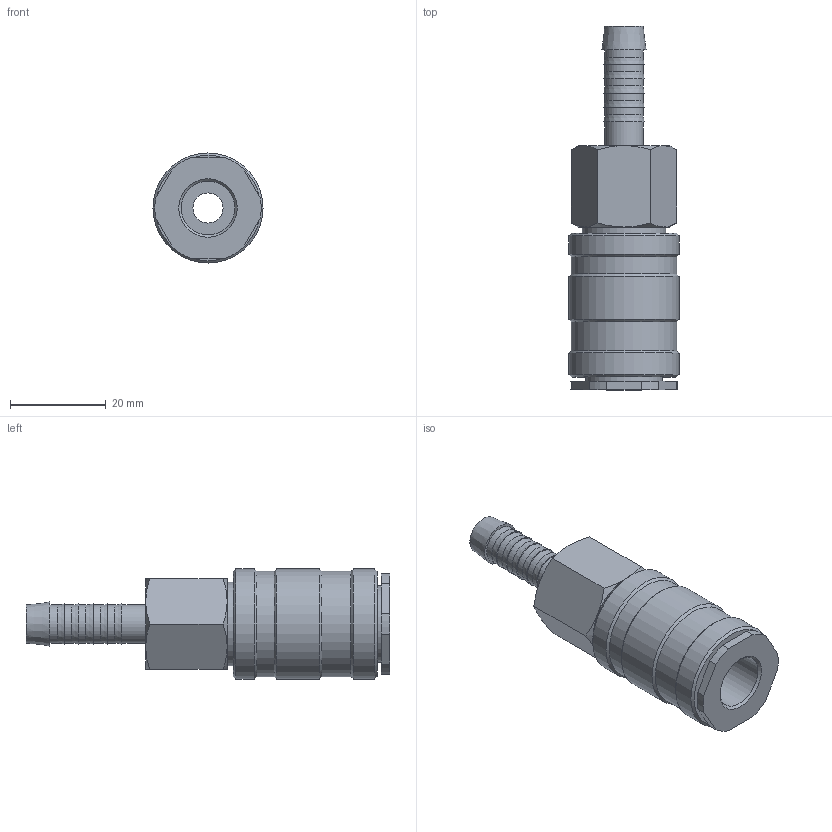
import cadquery as cq
import math


full_turn = 360
hex_sides = 6

total_length = 76.0
flange_length = 1.8
sleeve_start = 2.7
sleeve_length = 30.0
sleeve_end = sleeve_start + sleeve_length
hex_start = 34.0
hex_length = 17.0
hex_end = hex_start + hex_length

flange_radius = 11.1
flange_across_flats = 21.0
front_neck_radius = 8.0

sleeve_radius = 11.5
groove_depth = 0.5
sleeve_chamfer = 0.5
groove_spans = [(7.7, 14.7), (23.7, 28.3)]

hex_across_flats = 19.0
hex_chamfer_angle = 30.0
rear_neck_radius = 8.75

stem_radius = 4.0
tip_barb_radius = 4.6
tip_barb_length = 5.0
ridge_radius = 4.2
ridge_length = 1.5
ridge_pitch = 3.0
ridge_count = 5
first_ridge_from_tip = 6.5

socket_radius = 5.6
socket_depth = 25.0
socket_chamfer = 0.5
passage_radius = 3.15


def cylinder(radius, start, end):
    """Cylinder about the Y axis between two stations."""
    return cq.Workplane("XZ", origin=(0, start, 0)).circle(radius).extrude(start - end)


def cone(start_radius, end_radius, start, end):
    """Truncated cone about the Y axis between two stations."""
    profile = [(0, start), (start_radius, start), (end_radius, end), (0, end)]
    return cq.Workplane("XY").polyline(profile).close().revolve(full_turn, (0, 0), (0, 1))


def hexagon(across_flats, start, end):
    """Hexagonal prism about the Y axis with flats facing +Z and -Z."""
    across_corners = across_flats / math.cos(math.pi / hex_sides)
    plane = cq.Workplane("XZ", origin=(0, start, 0))
    return plane.polygon(hex_sides, across_corners).extrude(start - end)


def make_flange():
    disc = cylinder(flange_radius, 0, flange_length)
    return disc.intersect(hexagon(flange_across_flats, 0, flange_length))


def make_sleeve():
    groove_radius = sleeve_radius - groove_depth
    end_radius = sleeve_radius - sleeve_chamfer
    outline = [
        (0, sleeve_start),
        (end_radius, sleeve_start),
        (sleeve_radius, sleeve_start + sleeve_chamfer),
    ]
    for groove_start, groove_end in groove_spans:
        outline += [
            (sleeve_radius, groove_start),
            (groove_radius, groove_start + groove_depth),
            (groove_radius, groove_end - groove_depth),
            (sleeve_radius, groove_end),
        ]
    outline += [
        (sleeve_radius, sleeve_end - sleeve_chamfer),
        (end_radius, sleeve_end),
        (0, sleeve_end),
    ]
    return cq.Workplane("XY").polyline(outline).close().revolve(full_turn, (0, 0), (0, 1))


def make_hex_body():
    """Hexagon whose corners are turned off by a cone at each end."""
    face_radius = hex_across_flats / 2
    slope = math.tan(math.radians(hex_chamfer_angle))
    middle = (hex_start + hex_end) / 2
    wide_radius = face_radius + hex_length / 2 / slope
    body = hexagon(hex_across_flats, hex_start, hex_end)
    turned = cone(face_radius, wide_radius, hex_start, middle)
    turned = turned.union(cone(wide_radius, face_radius, middle, hex_end))
    return body.intersect(turned)


def make_barb():
    tip_barb_start = total_length - tip_barb_length
    barb = cylinder(stem_radius, hex_end, tip_barb_start)
    barb = barb.union(cone(tip_barb_radius, stem_radius, tip_barb_start, total_length))
    for index in range(ridge_count):
        ridge_end = total_length - first_ridge_from_tip - index * ridge_pitch
        ridge_start = ridge_end - ridge_length
        barb = barb.union(cone(ridge_radius, stem_radius, ridge_start, ridge_end))
    return barb


def make_bore():
    """Chamfered socket followed by a narrower passage through the barb."""
    mouth = cone(socket_radius + socket_chamfer, socket_radius, 0, socket_chamfer)
    socket = cylinder(socket_radius, 0, socket_depth)
    passage = cylinder(passage_radius, 0, total_length)
    return socket.union(mouth).union(passage)


front_neck = cylinder(front_neck_radius, flange_length, sleeve_start)
rear_neck = cylinder(rear_neck_radius, sleeve_end, hex_start)

body = make_flange().union(front_neck).union(make_sleeve()).union(rear_neck)
body = body.union(make_hex_body()).union(make_barb())

result = body.cut(make_bore())